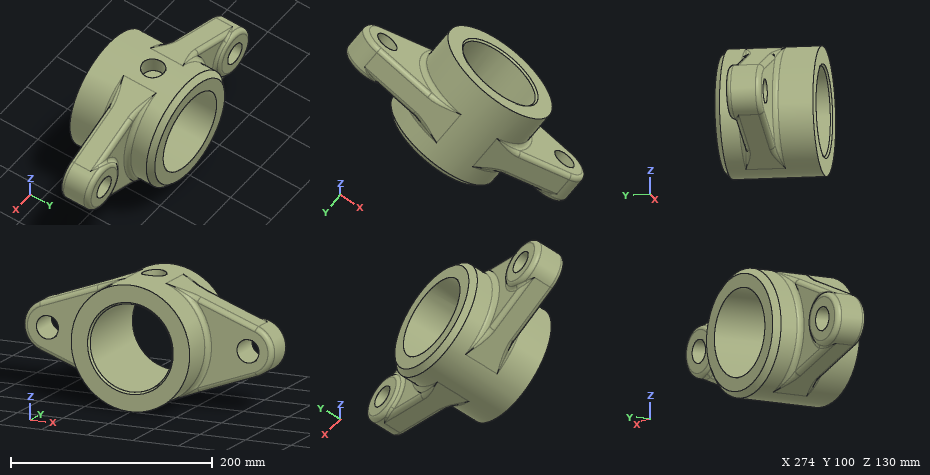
import math

import cadquery as cq

BODY_RADIUS = 65.0
BODY_FRONT_Y = -55.0
BODY_BACK_Y = 45.0
BODY_BACK_CHAMFER = 6.0
BORE_RADIUS = 45.0
BORE_CHAMFER = 2.0

FLANGE_THICKNESS = 30.0
EAR_RADIUS = 27.0
EAR_OFFSET = 110.0
EAR_HOLE_DIAMETER = 24.0
PAD_HEIGHT = 5.0
FILLET_RADIUS = 5.0

PORT_DIAMETER = 25.0
PORT_DEPTH = 18.0
OIL_HOLE_DIAMETER = 5.0

FLANGE_BACK_Y = FLANGE_THICKNESS / 2
ROOT_Y = FLANGE_BACK_Y + FILLET_RADIUS
ROOT_RADIUS = BODY_RADIUS + FILLET_RADIUS
PAD_BACK_Y = FLANGE_BACK_Y + PAD_HEIGHT

TANGENT_SIN = (BODY_RADIUS - EAR_RADIUS) / EAR_OFFSET
TANGENT_COS = math.sqrt(1 - TANGENT_SIN**2)


def cylinder_y(radius, start_y, end_y, x=0.0):
    """Cylinder along Y, centred at the given X, between two Y positions."""
    return cq.Workplane("XZ", origin=(x, start_y, 0)).circle(radius).extrude(start_y - end_y)


def make_body():
    """Plain bearing cylinder with its back rim chamfered."""
    body = cylinder_y(BODY_RADIUS, BODY_FRONT_Y, BODY_BACK_Y)
    return body.faces(">Y").edges().chamfer(BODY_BACK_CHAMFER)


def make_ear_outline():
    """Ear at +X, from the body axis out to its rounded tip, as thick as the roots."""
    body_x = BODY_RADIUS * TANGENT_SIN
    body_z = BODY_RADIUS * TANGENT_COS
    tip_x = EAR_OFFSET + EAR_RADIUS * TANGENT_SIN
    tip_z = EAR_RADIUS * TANGENT_COS
    return (
        cq.Workplane("XZ", origin=(0, ROOT_Y, 0))
        .lineTo(body_x, body_z)
        .lineTo(tip_x, tip_z)
        .threePointArc((EAR_OFFSET + EAR_RADIUS, 0), (tip_x, -tip_z))
        .lineTo(body_x, -body_z)
        .close()
        .extrude(2 * ROOT_Y)
    )


def make_root_profile():
    """Disc around the body axis that thickens along a concave fillet towards the body."""
    outer_radius = EAR_OFFSET + 2 * EAR_RADIUS
    arc_inset = FILLET_RADIUS * (1 - math.sqrt(0.5))
    arc_mid_radius = BODY_RADIUS + arc_inset
    arc_mid_y = FLANGE_BACK_Y + arc_inset
    return (
        cq.Workplane("XY")
        .moveTo(0, -ROOT_Y)
        .lineTo(BODY_RADIUS, -ROOT_Y)
        .threePointArc((arc_mid_radius, -arc_mid_y), (ROOT_RADIUS, -FLANGE_BACK_Y))
        .lineTo(outer_radius, -FLANGE_BACK_Y)
        .lineTo(outer_radius, FLANGE_BACK_Y)
        .lineTo(ROOT_RADIUS, FLANGE_BACK_Y)
        .threePointArc((arc_mid_radius, arc_mid_y), (BODY_RADIUS, ROOT_Y))
        .lineTo(0, ROOT_Y)
        .close()
        .revolve(360, (0, 0, 0), (0, 1, 0))
    )


def make_pad():
    """Round pad at the ear tip, raised above the back of the ear."""
    start_y = FLANGE_BACK_Y - FILLET_RADIUS
    pad = cylinder_y(EAR_RADIUS, start_y, PAD_BACK_Y, EAR_OFFSET)
    return pad.faces(">Y").edges().fillet(FILLET_RADIUS)


def make_ear():
    """Ear at +X with its root, rounded edges and pad."""
    ear = make_ear_outline().intersect(make_root_profile())
    side_region = cq.selectors.BoxSelector(
        (ROOT_RADIUS, -ROOT_Y, -BODY_RADIUS),
        (EAR_OFFSET, ROOT_Y, BODY_RADIUS),
    )
    ear = ear.edges("%LINE").edges(side_region).fillet(FILLET_RADIUS)
    ear = ear.union(make_pad())
    pad_foot = cq.selectors.NearestToPointSelector((EAR_OFFSET - EAR_RADIUS, FLANGE_BACK_Y, 0))
    return ear.edges(pad_foot).fillet(FILLET_RADIUS)


def cut_bore(part):
    """Through bore with a chamfered front mouth."""
    bore = cylinder_y(BORE_RADIUS, BODY_FRONT_Y, BODY_BACK_Y)
    mouth = cq.Workplane("XY").add(cq.Solid.makeCone(
        BORE_RADIUS + BORE_CHAMFER,
        BORE_RADIUS,
        BORE_CHAMFER,
        pnt=cq.Vector(0, BODY_FRONT_Y, 0),
        dir=cq.Vector(0, 1, 0),
    ))
    return part.cut(bore).cut(mouth)


def cut_ear_holes(part):
    """Bolt hole through each ear and its pad."""
    for x in (-EAR_OFFSET, EAR_OFFSET):
        part = part.cut(cylinder_y(EAR_HOLE_DIAMETER / 2, -FLANGE_BACK_Y, PAD_BACK_Y, x))
    return part


def cut_lubrication_port(part):
    """Blind port in the top of the body, with a small oil hole on into the bore."""
    top = cq.Workplane("XY", origin=(0, 0, BODY_RADIUS))
    port = top.circle(PORT_DIAMETER / 2).extrude(-PORT_DEPTH)
    oil_hole = top.circle(OIL_HOLE_DIAMETER / 2).extrude(-BODY_RADIUS)
    return part.cut(port).cut(oil_hole)


right_ear = make_ear()
left_ear = right_ear.mirror("YZ")
result = make_body().union(right_ear).union(left_ear)
result = cut_bore(result)
result = cut_ear_holes(result)
result = cut_lubrication_port(result)